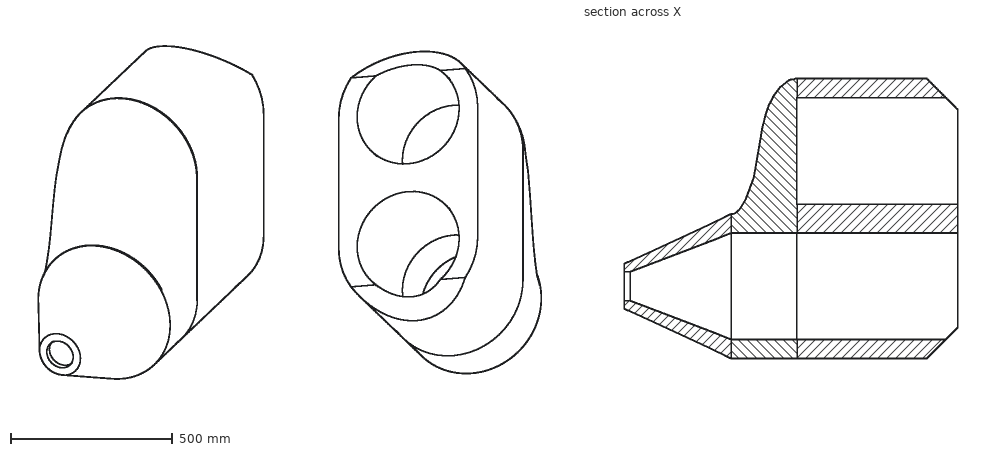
import cadquery as cq
import math

outer_radius = 225.0
wall = 60.0
inner_radius = outer_radius - wall
total_height = 870.0
upper_axis_z = total_height / 2 - outer_radius
lower_axis_z = -upper_axis_z

housing_length = 500.0
housing_chamfer = 97.0

tip_radius = 70.0
mouth_radius = 45.0
mouth_length = 20.0
cone_half_angle = 25.0
nozzle_length = (outer_radius - tip_radius) / math.tan(math.radians(cone_half_angle))

total_length = 1036.82
transition_length = total_length - housing_length - nozzle_length
collar_length = 4.4
shoulder_length = transition_length - collar_length
shoulder_foot_z = lower_axis_z - 4.0
shoulder_drop = upper_axis_z - lower_axis_z
shoulder_end_half_width = outer_radius - 0.1

shoulder_stations = [
    (0.0, 0.0, shoulder_end_half_width),
    (0.06, 0.004, 224.8),
    (0.2, 0.04, 222.8),
    (0.48, 0.27, 218.2),
    (0.66, 0.745, 223.0),
    (0.82, 0.93, 224.4),
    (0.94, 0.994, 224.8),
    (1.0, 1.0, shoulder_end_half_width),
]


def section_plane(y):
    """Plane across the part at y, with local axes along X and Z and its normal towards -Y."""
    return cq.Workplane("XZ", origin=(0, y, 0))


def oblong_prism(radius, y_start, length):
    """Upright oblong around both axes, running from y_start towards -Y."""
    height = 2 * (upper_axis_z + radius)
    return section_plane(y_start).slot2D(height, 2 * radius, 90).extrude(length)


def cylinder(radius, axis_z, y_start, length):
    """Cylinder along Y at height axis_z, running from y_start towards -Y."""
    return section_plane(y_start).center(0, axis_z).circle(radius).extrude(length)


def make_housing():
    """Oblong block with a bore on each axis, its back end chamfered across the top and the bottom."""
    back_y = housing_length
    half_height = total_height / 2
    side_outline = [
        (0, -half_height),
        (back_y - housing_chamfer, -half_height),
        (back_y, -half_height + housing_chamfer),
        (back_y, half_height - housing_chamfer),
        (back_y - housing_chamfer, half_height),
        (0, half_height),
    ]
    side_prism = cq.Workplane("YZ").polyline(side_outline).close().extrude(outer_radius, both=True)
    block = oblong_prism(outer_radius, back_y, housing_length).intersect(side_prism)
    for axis_z in (upper_axis_z, lower_axis_z):
        block = block.cut(cylinder(inner_radius, axis_z, back_y, housing_length))
    return block


def shoulder_section(y, axis_z, half_width):
    """Closed wire with a half-round top, straight sides and a flat foot."""
    outline = section_plane(y).moveTo(-half_width, shoulder_foot_z).lineTo(-half_width, axis_z)
    outline = outline.threePointArc((0, axis_z + half_width), (half_width, axis_z))
    return outline.lineTo(half_width, shoulder_foot_z).close().val()


def make_shoulder():
    """Smooth S-shaped fall from the oblong section to the round one, slightly pinched at mid length."""
    sections = []
    for length_share, drop_share, half_width in shoulder_stations:
        y = -collar_length - length_share * shoulder_length
        axis_z = upper_axis_z - drop_share * shoulder_drop
        sections.append(shoulder_section(y, axis_z, half_width))
    return cq.Workplane(cq.Solid.makeLoft(sections))


def make_transition():
    """Collar, round lower end and shoulder in one solid, with the bore along the lower axis."""
    solid = oblong_prism(outer_radius, 0, collar_length)
    solid = solid.union(cylinder(outer_radius, lower_axis_z, 0, transition_length))
    solid = solid.union(make_shoulder())
    return solid.cut(cylinder(inner_radius, lower_axis_z, 0, transition_length))


def make_nozzle():
    """Hollow cone that ends in a short straight mouth."""
    base_y = -transition_length
    tip_y = base_y - nozzle_length
    half_profile = [
        (inner_radius, base_y),
        (outer_radius, base_y),
        (tip_radius, tip_y),
        (mouth_radius, tip_y),
        (mouth_radius, tip_y + mouth_length),
    ]
    profile = cq.Workplane("XY", origin=(0, 0, lower_axis_z)).polyline(half_profile).close()
    return profile.revolve(360, (0, 0, 0), (0, 1, 0))


housing = make_housing()
transition = make_transition()
nozzle = make_nozzle()

result = cq.Compound.makeCompound([housing.val(), transition.val(), nozzle.val()])